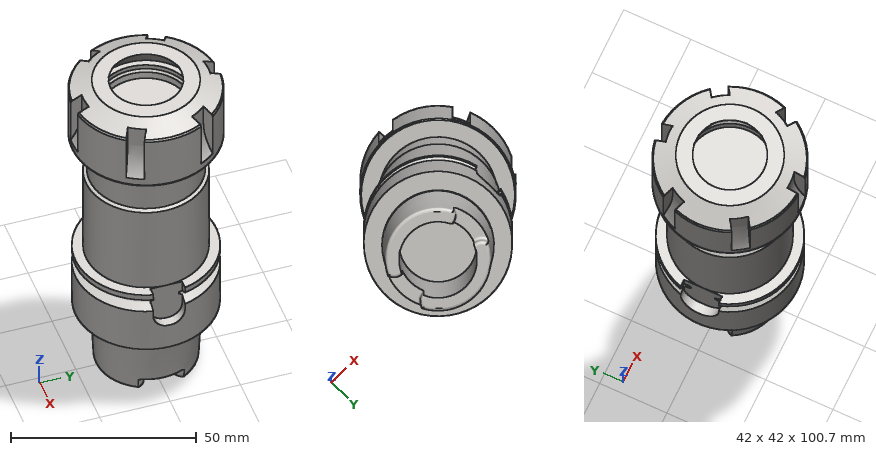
import cadquery as cq
import math


flange_dia = 40.0
flange_height = 20.0
body_dia = 34.0
body_top_z = 47.6
neck_dia = 32.0
shoulder_height = 0.6

nut_dia = 42.0
nut_bottom_z = 60.9
nut_top_z = 80.73
nut_face_dia = 29.2
nut_cone_dia = 41.3
nut_cone_bottom_z = 77.94
nut_edge_height = 0.6
nut_mouth_dia = 20.13

recess_cone_dia = 29.6
recess_cone_depth = 6.7
seat_dia = 26.0
seat_depth = 8.1
seat_chamfer = 0.65
recess_depth = 10.7
seat_taper_deg = 8.0

spanner_slot_count = 6
spanner_slot_width = 5.0
spanner_slot_floor_radius = 17.85
spanner_slot_straight_z = 73.05
spanner_slot_end_z = 63.7
spanner_slot_turn_deg = 3.3
cutter_clearance = 1.0

groove_z = 16.05
groove_width = 4.2
groove_half_angle_deg = 30.0
groove_root_radius = 0.97

side_slot_floor_x = 17.0
side_slot_end_z = 8.05
wide_slot_width = 11.3
wide_slot_corner = 5.0
narrow_slot_width = 9.0
narrow_slot_corner = 4.0

shank_length = 20.0
relief_dia = 29.6
relief_length = 0.8
taper_start_dia = 30.2
taper_start_z = -1.8
taper_ratio = 0.1
shank_end_radius = 0.9
shank_bore_dia = 21.0

keyway_width = 8.05
keyway_edge_radius = 3.2
keyway_round_end_x = 12.8
left_keyway_top_z = -14.06
right_keyway_top_z = -16.4
keyway_roof_radius = 0.8


def revolve_profile(profile):
    """Turn an XZ half profile once around the Z axis."""
    return profile.close().revolve(360, (0, 0, 0), (0, 1, 0))


def make_keyway(turn_deg, top_z):
    """Cutter for a drive keyway whose side walls round off outwards and whose roof corners are filleted."""
    half = keyway_width / 2
    mouth_half = half + keyway_edge_radius
    round_start_x = keyway_round_end_x - keyway_edge_radius
    reach = keyway_edge_radius * math.cos(math.radians(45))
    arc_middle_x = round_start_x + reach
    arc_middle_y = mouth_half - reach
    outer_x = taper_start_dia / 2
    return (
        cq.Workplane("XY", origin=(0, 0, -shank_length))
        .moveTo(0, -half)
        .lineTo(round_start_x, -half)
        .threePointArc((arc_middle_x, -arc_middle_y), (keyway_round_end_x, -mouth_half))
        .lineTo(outer_x, -mouth_half)
        .lineTo(outer_x, mouth_half)
        .lineTo(keyway_round_end_x, mouth_half)
        .threePointArc((arc_middle_x, arc_middle_y), (round_start_x, half))
        .lineTo(0, half)
        .close()
        .extrude(top_z + shank_length)
        .faces(">Z")
        .edges("%CIRCLE")
        .fillet(keyway_roof_radius)
        .rotate((0, 0, 0), (0, 0, 1), turn_deg)
    )


def make_shank():
    taper_length = shank_length + taper_start_z
    end_radius = (taper_start_dia - taper_ratio * taper_length) / 2
    profile = (
        cq.Workplane("XZ")
        .moveTo(0, 0)
        .lineTo(relief_dia / 2, 0)
        .lineTo(relief_dia / 2, -relief_length)
        .lineTo(taper_start_dia / 2, taper_start_z)
        .lineTo(end_radius, -shank_length)
        .lineTo(0, -shank_length)
    )
    shank = revolve_profile(profile)
    shank = shank.cut(make_keyway(180, left_keyway_top_z)).cut(make_keyway(0, right_keyway_top_z))
    shank = shank.faces("<Z").edges().fillet(shank_end_radius)
    bore = cq.Workplane("XY", origin=(0, 0, -shank_length)).circle(shank_bore_dia / 2).extrude(shank_length)
    return shank.cut(bore)


def make_body():
    profile = (
        cq.Workplane("XZ")
        .moveTo(0, 0)
        .lineTo(flange_dia / 2, 0)
        .lineTo(flange_dia / 2, flange_height)
        .lineTo(body_dia / 2, flange_height)
        .lineTo(body_dia / 2, body_top_z)
        .lineTo(neck_dia / 2, body_top_z + shoulder_height)
        .lineTo(neck_dia / 2, nut_bottom_z)
        .lineTo(0, nut_bottom_z)
    )
    return revolve_profile(profile)


def make_nut():
    profile = (
        cq.Workplane("XZ")
        .moveTo(0, nut_bottom_z)
        .lineTo(nut_cone_dia / 2, nut_bottom_z)
        .lineTo(nut_dia / 2, nut_bottom_z + nut_edge_height)
        .lineTo(nut_dia / 2, nut_cone_bottom_z - nut_edge_height)
        .lineTo(nut_cone_dia / 2, nut_cone_bottom_z)
        .lineTo(nut_face_dia / 2, nut_top_z)
        .lineTo(0, nut_top_z)
    )
    return revolve_profile(profile)


def make_recess():
    taper_top_radius = seat_dia / 2 - seat_chamfer
    taper_top_depth = seat_depth + seat_chamfer
    taper_shrink = (recess_depth - taper_top_depth) * math.tan(math.radians(seat_taper_deg))
    profile = (
        cq.Workplane("XZ")
        .moveTo(0, nut_top_z)
        .lineTo(nut_mouth_dia / 2, nut_top_z)
        .lineTo(recess_cone_dia / 2, nut_top_z - recess_cone_depth)
        .lineTo(seat_dia / 2, nut_top_z - recess_cone_depth)
        .lineTo(seat_dia / 2, nut_top_z - seat_depth)
        .lineTo(taper_top_radius, nut_top_z - taper_top_depth)
        .lineTo(taper_top_radius - taper_shrink, nut_top_z - recess_depth)
        .lineTo(0, nut_top_z - recess_depth)
    )
    return revolve_profile(profile)


def make_spanner_slots():
    """Slots whose floor is concentric with the nut and runs out to the rim along a tangent arc."""
    rim_radius = nut_dia / 2
    run_depth = rim_radius - spanner_slot_floor_radius
    run_height = spanner_slot_straight_z - spanner_slot_end_z
    run_radius = (run_depth**2 + run_height**2) / (2 * run_depth)
    half_angle = math.asin(run_height / run_radius) / 2
    arc_middle = (
        spanner_slot_floor_radius + run_radius * (1 - math.cos(half_angle)),
        spanner_slot_straight_z - run_radius * math.sin(half_angle),
    )
    clear_radius = rim_radius + cutter_clearance
    profile = (
        cq.Workplane("XZ")
        .moveTo(spanner_slot_floor_radius, nut_top_z)
        .lineTo(spanner_slot_floor_radius, spanner_slot_straight_z)
        .threePointArc(arc_middle, (rim_radius, spanner_slot_end_z))
        .lineTo(clear_radius, spanner_slot_end_z)
        .lineTo(clear_radius, nut_top_z)
    )
    ring = revolve_profile(profile)
    bars = cq.Workplane("XY")
    for index in range(spanner_slot_count // 2):
        angle = spanner_slot_turn_deg + 90 + index * 360 / spanner_slot_count
        bar = cq.Workplane("XY").box(2 * clear_radius, spanner_slot_width, 2 * nut_top_z)
        bars = bars.union(bar.rotate((0, 0, 0), (0, 0, 1), angle))
    return ring.intersect(bars)


def make_groove():
    """V groove with a rounded root, running around the flange."""
    angle = math.radians(groove_half_angle_deg)
    rim_radius = flange_dia / 2
    tangent_half_width = groove_root_radius * math.cos(angle)
    tangent_radius = rim_radius - (groove_width / 2 - tangent_half_width) / math.tan(angle)
    root_radius = tangent_radius - groove_root_radius * (1 - math.sin(angle))
    profile = (
        cq.Workplane("XZ")
        .moveTo(rim_radius, groove_z + groove_width / 2)
        .lineTo(tangent_radius, groove_z + tangent_half_width)
        .threePointArc((root_radius, groove_z), (tangent_radius, groove_z - tangent_half_width))
        .lineTo(rim_radius, groove_z - groove_width / 2)
    )
    return revolve_profile(profile)


def make_side_slot(side, width, corner):
    """Flat-floored slot on the +X (side = 1) or -X (side = -1) flank of the flange."""
    depth = flange_dia / 2 - side_slot_floor_x
    height = flange_height - side_slot_end_z
    return (
        cq.Workplane("XY")
        .box(depth, width, height, centered=(True, True, False))
        .edges("|X and <Z")
        .fillet(corner)
        .translate((side * (side_slot_floor_x + depth / 2), 0, side_slot_end_z))
    )


result = (
    make_body()
    .union(make_nut())
    .union(make_shank())
    .cut(make_recess())
    .cut(make_spanner_slots())
    .cut(make_groove())
    .cut(make_side_slot(-1, wide_slot_width, wide_slot_corner))
    .cut(make_side_slot(1, narrow_slot_width, narrow_slot_corner))
)